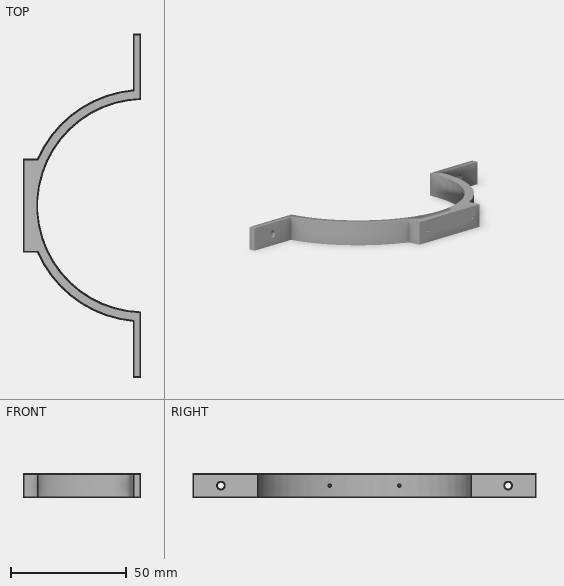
import cadquery as cq

length = 148.0
height = 10.0

inner_radius = 46.0
outer_radius = 50.0
axis_gap = 1.5

flange_thickness = 3.0
flange_hole_diameter = 3.3
flange_hole_spacing = 124.0

pad_width = 40.0
pad_face_offset = 52.0
pilot_diameter = 1.0
pilot_spacing = 30.0

open_face_x = -axis_gap
pad_face_x = -pad_face_offset


def box(x_min, x_max, width):
    """Full-height block centred on Y and Z."""
    return cq.Workplane("XY").box(x_max - x_min, width, height).translate(((x_min + x_max) / 2, 0, 0))


def disc(radius):
    """Full-height cylinder on the ring axis."""
    return cq.Workplane("XY").circle(radius).extrude(height / 2, both=True)


def hole_pair(diameter, spacing, x_min, x_max):
    """Two cutters along X, spaced symmetrically in Y."""
    plane = cq.Workplane("YZ", origin=(x_min, 0, 0))
    centres = [(-spacing / 2, 0), (spacing / 2, 0)]
    return plane.pushPoints(centres).circle(diameter / 2).extrude(x_max - x_min)


half_ring = disc(outer_radius).intersect(box(pad_face_x, open_face_x, length))
pad = box(pad_face_x, open_face_x, pad_width)
flanges = box(open_face_x - flange_thickness, open_face_x, length)
body = half_ring.union(pad).union(flanges).cut(disc(inner_radius))

flange_holes = hole_pair(
    flange_hole_diameter, flange_hole_spacing, open_face_x - flange_thickness, open_face_x
)
pilot_holes = hole_pair(pilot_diameter, pilot_spacing, pad_face_x, open_face_x)
result = body.cut(flange_holes).cut(pilot_holes)